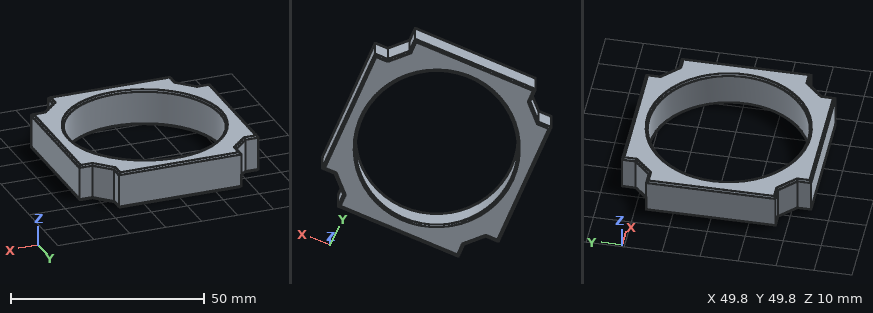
import cadquery as cq

side = 49.8
height = 10.0
bore_diameter = 42.0
edge_chamfer = 0.5
notch_size = 7.85
notch_lip = 3.6

half_side = side / 2
notch_wall = half_side - notch_size
diagonal_start = half_side - notch_lip


def corner_notch():
    """Cutter for the +X +Y corner: a square with its inner corner cut diagonally."""
    return (
        cq.Workplane("XY")
        .moveTo(half_side, half_side)
        .lineTo(notch_wall, half_side)
        .lineTo(notch_wall, diagonal_start)
        .lineTo(diagonal_start, notch_wall)
        .lineTo(half_side, notch_wall)
        .close()
        .extrude(height)
    )


result = cq.Workplane("XY").rect(side, side).extrude(height)

for quarter_turn in range(4):
    cutter = corner_notch().rotate((0, 0, 0), (0, 0, 1), 90 * quarter_turn)
    result = result.cut(cutter)

result = result.faces(">Z").workplane().hole(bore_diameter)

result = result.faces("|Z").edges().chamfer(edge_chamfer)